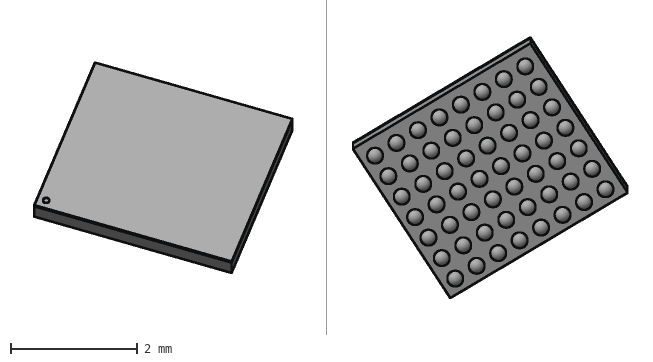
import cadquery as cq

length = 3.31
width = 2.92

die_thickness = 0.285
coating_thickness = 0.04

ball_columns = 8
ball_rows = 7
ball_pitch = 0.4
ball_diameter = 0.25
ball_standoff = 0.215
ball_radius = ball_diameter / 2
ball_center_z = ball_radius - ball_standoff

mark_diameter = 0.1
mark_inset = 0.15
mark_depth = 0.01


def centered(count, pitch):
    """Evenly spaced positions, centered on zero."""
    return [(i - (count - 1) / 2) * pitch for i in range(count)]


def solder_ball(x, y):
    return cq.Workplane("XY").sphere(ball_radius).translate((x, y, ball_center_z))


def make_bumped_die():
    """Die with its solder balls; the underside of the die lies at Z = 0."""
    die = cq.Workplane("XY").box(length, width, die_thickness, centered=(True, True, False))
    for x in centered(ball_columns, ball_pitch):
        for y in centered(ball_rows, ball_pitch):
            die = die.union(solder_ball(x, y))
    return die


def make_coating():
    """Thin layer over the whole back of the die, with the pin-one recess."""
    layer = (
        cq.Workplane("XY")
        .workplane(offset=die_thickness)
        .box(length, width, coating_thickness, centered=(True, True, False))
    )
    recess = (
        cq.Workplane("XY")
        .workplane(offset=die_thickness + coating_thickness - mark_depth)
        .center(mark_inset - length / 2, mark_inset - width / 2)
        .circle(mark_diameter / 2)
        .extrude(mark_depth)
    )
    return layer.cut(recess)


bumped_die = make_bumped_die()
coating = make_coating()

result = cq.Compound.makeCompound([bumped_die.val(), coating.val()])